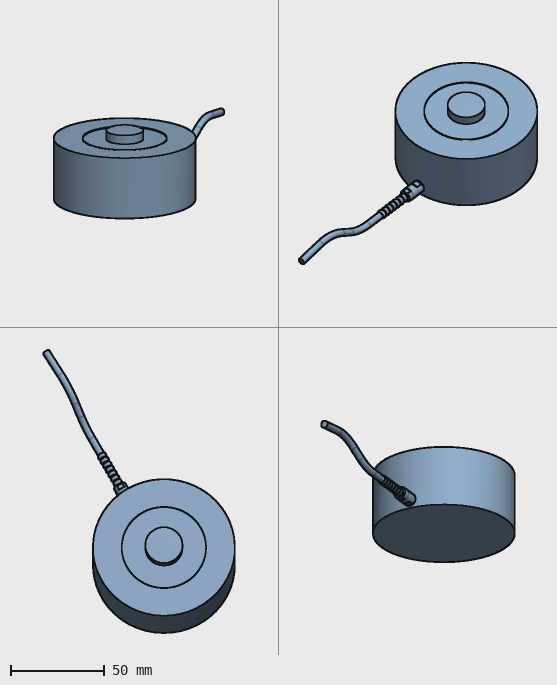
import cadquery as cq
import math

housing_diameter = 75.7
housing_height = 33.6
button_diameter = 19.8
button_rim_height = 4.4
button_dome_height = 0.2
recess_diameter = 44.9
recess_depth = 0.5

axis_height = 4.9
gland_diameter = 7.0
seat_depth = 0.3
gland_across_flats = 5.9
gland_flat_end = 41.4
flange_start = 45.9
flange_end = 48.6
flange_tip_diameter = 6.7
flange_flat_width = 2.7
sleeve_end = 68.5
bead_count = 7
bead_diameter = 4.9
bead_root_diameter = 4.2
bead_gap = 0.5

cable_diameter = 3.9
lean_angle = 7.0
rise_angle = 30.0
droop_angle = 8.5
first_bend_start = 78.3
first_bend_radius = 26.4
middle_run = 7.9
second_bend_radius = 24.9
cable_reach = 130.3

housing_radius = housing_diameter / 2
gland_radius = gland_diameter / 2
cable_radius = cable_diameter / 2
seat_y = housing_radius - seat_depth


def cylinder_along_y(diameter, start, end):
    plane = cq.Plane(origin=(0, start, axis_height), xDir=(1, 0, 0), normal=(0, 1, 0))
    return cq.Workplane(plane).circle(diameter / 2).extrude(end - start)


def make_housing():
    button_top = housing_height + button_rim_height
    button_radius = button_diameter / 2
    half_profile = (
        cq.Workplane("XZ")
        .lineTo(housing_radius, 0)
        .lineTo(housing_radius, housing_height)
        .lineTo(button_radius, housing_height)
        .lineTo(button_radius, button_top)
    )
    dome_radius = (button_radius**2 + button_dome_height**2) / (2 * button_dome_height)
    mid_x = button_radius / 2
    apex_z = button_top + button_dome_height
    mid_z = apex_z - dome_radius + math.sqrt(dome_radius**2 - mid_x**2)
    body = half_profile.threePointArc((mid_x, mid_z), (0, apex_z)).close().revolve(360, (0, 0, 0), (0, 1, 0))
    recess = (
        cq.Workplane("XY", origin=(0, 0, housing_height - recess_depth))
        .circle(recess_diameter / 2)
        .circle(button_radius)
        .extrude(recess_depth)
    )
    seat = cylinder_along_y(gland_diameter, seat_y, gland_flat_end)
    return body.cut(recess).cut(seat)


def cut_flats(bar, half_height, start, end):
    """Trims a stretch of a round bar to flats above and below its axis."""
    block = cq.Workplane("XY").box(gland_diameter, end - start, gland_diameter)
    for side in (1, -1):
        center_z = axis_height + side * (half_height + gland_radius)
        bar = bar.cut(block.translate((0, (start + end) / 2, center_z)))
    return bar


def make_flange():
    """Slightly tapered collar with a flat above and below the axis."""
    tip_radius = flange_tip_diameter / 2
    flat_height = math.sqrt(tip_radius**2 - (flange_flat_width / 2) ** 2)
    flange = (
        cq.Workplane("XY")
        .moveTo(0, flange_start)
        .lineTo(gland_radius, flange_start)
        .lineTo(tip_radius, flange_end)
        .lineTo(0, flange_end)
        .close()
        .revolve(360, (0, 0, 0), (0, 1, 0))
        .translate((0, 0, axis_height))
    )
    return cut_flats(flange, flat_height, flange_start, flange_end)


def make_sleeve():
    """Strain relief: a row of round beads revolved about the fitting axis."""
    pitch = (sleeve_end - flange_end) / bead_count
    bead_length = pitch - bead_gap
    root_radius = bead_root_diameter / 2
    profile = cq.Workplane("XY").moveTo(0, flange_end).lineTo(root_radius, flange_end)
    for bead in range(bead_count):
        bead_end = flange_end + (bead + 1) * pitch
        bead_start = bead_end - bead_length
        bead_middle = bead_end - bead_length / 2
        profile = profile.lineTo(root_radius, bead_start)
        profile = profile.threePointArc((bead_diameter / 2, bead_middle), (root_radius, bead_end))
    sleeve = profile.lineTo(0, sleeve_end).close().revolve(360, (0, 0, 0), (0, 1, 0))
    return sleeve.translate((0, 0, axis_height))


def make_fitting():
    gland = cylinder_along_y(gland_diameter, seat_y, flange_start)
    gland = cut_flats(gland, gland_across_flats / 2, housing_radius, gland_flat_end)
    bore = cylinder_along_y(cable_diameter, seat_y, sleeve_end)
    return gland.union(make_flange()).union(make_sleeve()).cut(bore)


def make_cable():
    lean = math.radians(lean_angle)
    rise = math.radians(rise_angle)
    droop = math.radians(droop_angle)
    up = cq.Vector(math.sin(lean), 0, math.cos(lean))
    along = cq.Vector(0, 1, 0)
    plane = cq.Plane(origin=(0, 0, axis_height), xDir=along, normal=along.cross(up))

    def on_first_bend(angle):
        return (
            first_bend_start + first_bend_radius * math.sin(angle),
            first_bend_radius * (1 - math.cos(angle)),
        )

    first_end = on_first_bend(rise)
    second_start = (
        first_end[0] + middle_run * math.cos(rise),
        first_end[1] + middle_run * math.sin(rise),
    )

    def on_second_bend(angle):
        return (
            second_start[0] + second_bend_radius * (math.sin(rise) - math.sin(angle)),
            second_start[1] + second_bend_radius * (math.cos(angle) - math.cos(rise)),
        )

    second_end = on_second_bend(-droop)
    tip_x = cable_reach - cable_radius * math.sin(droop)
    tip_y = second_end[1] - (tip_x - second_end[0]) * math.tan(droop)
    path = (
        cq.Workplane(plane)
        .moveTo(seat_y, 0)
        .lineTo(first_bend_start, 0)
        .threePointArc(on_first_bend(rise / 2), first_end)
        .lineTo(*second_start)
        .threePointArc(on_second_bend((rise - droop) / 2), second_end)
        .lineTo(tip_x, tip_y)
    )
    start = cq.Plane(origin=(0, seat_y, axis_height), xDir=(1, 0, 0), normal=(0, 1, 0))
    return cq.Workplane(start).circle(cable_radius).sweep(path)


housing = make_housing()
fitting = make_fitting()
cable = make_cable()

result = cq.Compound.makeCompound([*housing.solids().vals(), *fitting.solids().vals(), *cable.solids().vals()])